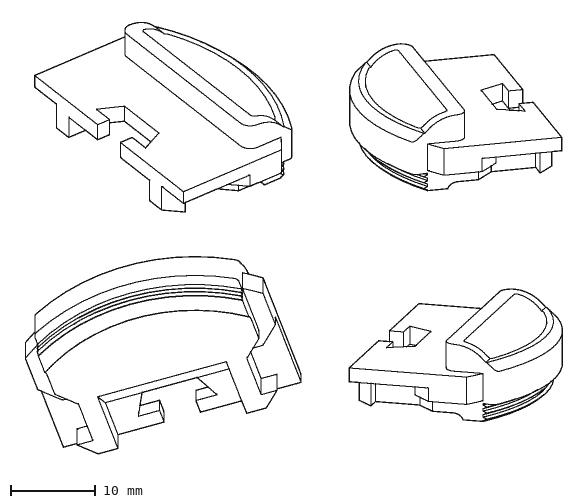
import cadquery as cq
import math

base_z = 0.76
rim_bottom_z = 2.17
wing_bottom_z = 2.55
front_pocket_z = 3.7
plate_underside_z = 4.2
plate_top_z = 5.9
rim_shoulder_z = 6.2
rim_top_z = 7.27
boss_top_z = 9.2
cavity_floor_z = 4.1

depth = 20.93
rim_radius = 25.75
axis_y = depth - rim_radius
plate_radius = 24.3
thread_height = 0.4
thread_half_width = 0.22
thread_pitch = 0.74
thread_first_z = 0.32
thread_count = 3
recess_radius = 22.25
recess_fillet = 1.0

plate_half_width = 14.8
body_half_width = 12.7
leg_half_width = 12.47
leg_inner_half_width = 8.0
leg_chamfer = 2.0
leg_back_y = 7.46
body_flare = 2.2

slot_mouth_half_width = 2.25
slot_lip = 1.75
slot_wide_half_width = 4.9
slot_narrow_half_width = 3.42
slot_back_y = 4.8
ramp_angle = 45.0

boss_front_y = 11.0
boss_corner_radius = 1.45
rim_corner_radius = 0.8
boss_flat_end_y = 12.28
boss_crown_radius = 4.9
boss_slope_angle = 45.0
cavity_half_width = 11.03
cavity_front_y = 12.94
cavity_radius = 23.88
cavity_floor_fillet = 1.0
cavity_front_corner_radius = 0.5
cavity_back_corner_radius = 1.05


def prism(points, bottom_z, top_z):
    """Vertical prism over a closed polygon."""
    plane = cq.Workplane("XY").workplane(offset=bottom_z)
    return plane.polyline(points).close().extrude(top_z - bottom_z)


def disc(radius, bottom_z, top_z):
    """Cylinder about the shared back-edge axis."""
    plane = cq.Workplane("XY").workplane(offset=bottom_z)
    return plane.center(0, axis_y).circle(radius).extrude(top_z - bottom_z)


def block(half_width, front_y, bottom_z, top_z):
    """Box centred on x = 0, reaching past the back of the part."""
    beyond_back_y = 2 * depth
    outline = [
        (-half_width, front_y),
        (half_width, front_y),
        (half_width, beyond_back_y),
        (-half_width, beyond_back_y),
    ]
    return prism(outline, bottom_z, top_z)


def round_backed(half_width, front_y, radius, bottom_z, top_z):
    """Block whose back edge is an arc about the shared axis."""
    return block(half_width, front_y, bottom_z, top_z).intersect(disc(radius, bottom_z, top_z))


def flared_layer(half_width, front_half_width, bottom_z, top_z):
    """Round-backed layer that widens at 45 degrees behind the legs."""
    flare_end_y = leg_back_y + half_width - front_half_width
    outline = [
        (-front_half_width, leg_back_y),
        (front_half_width, leg_back_y),
        (half_width, flare_end_y),
        (half_width, depth),
        (-half_width, depth),
        (-half_width, flare_end_y),
    ]
    return prism(outline, bottom_z, top_z).intersect(disc(plate_radius, bottom_z, top_z))


def plate():
    """Top plate with the thicker wings behind the legs."""
    top = round_backed(plate_half_width, 0, plate_radius, plate_underside_z, plate_top_z)
    wings = flared_layer(plate_half_width, leg_half_width, wing_bottom_z, plate_underside_z)
    return top.union(wings)


def legs():
    """Front block with hooked sides, which the front pocket splits into two legs."""
    leg_front_half_width = leg_half_width - leg_chamfer
    outline = [
        (-leg_front_half_width, 0),
        (leg_front_half_width, 0),
        (leg_half_width, leg_chamfer),
        (leg_front_half_width, leg_chamfer),
        (leg_front_half_width, leg_back_y),
        (-leg_front_half_width, leg_back_y),
        (-leg_front_half_width, leg_chamfer),
        (-leg_half_width, leg_chamfer),
    ]
    return prism(outline, base_z, plate_underside_z)


def thread_ridges():
    """Evenly spaced V-shaped ridges around the lower back edge."""
    thread_root_radius = plate_radius - thread_height
    ridges = cq.Workplane("XY")
    for index in range(thread_count):
        crest_z = thread_first_z + index * thread_pitch
        profile = [
            (thread_root_radius, crest_z - thread_half_width),
            (plate_radius, crest_z - thread_half_width),
            (plate_radius + thread_height, crest_z),
            (plate_radius, crest_z + thread_half_width),
            (thread_root_radius, crest_z + thread_half_width),
        ]
        ring = cq.Workplane("XZ").polyline(profile).close().revolve(360, (0, 0, 0), (0, 1, 0))
        ridges = ridges.add(ring.translate((0, axis_y, 0)))
    ridges = ridges.combine()
    return ridges.intersect(block(body_half_width, leg_back_y, 0, rim_bottom_z))


def lower_body():
    """Layer under the plate, ending in a hanging rim at the back."""
    front_half_width = body_half_width - body_flare
    body = flared_layer(body_half_width, front_half_width, 0, wing_bottom_z)
    recess = disc(recess_radius, base_z - 2 * recess_fillet, base_z)
    recess = recess.faces(">Z").edges().fillet(recess_fillet)
    return body.cut(recess).union(thread_ridges())


def boss():
    """Raised round-backed boss, with a crowned front wall and a low rim."""
    solid = round_backed(body_half_width, boss_front_y, rim_radius, rim_bottom_z, boss_top_z)
    solid = solid.faces("<Y").edges("|Z").fillet(boss_corner_radius)
    solid = solid.faces(">Y").edges("|Z").fillet(rim_corner_radius)
    return solid.intersect(boss_side_profile()).intersect(rim_envelope())


def boss_side_profile():
    """Crown arc falling into a straight slope down to the rim top."""
    slope = math.radians(boss_slope_angle)
    crown_center_z = boss_top_z - boss_crown_radius

    def crown_point(angle):
        """Point (y, z) on the crown at an angle from vertical."""
        y = boss_flat_end_y + boss_crown_radius * math.sin(angle)
        z = crown_center_z + boss_crown_radius * math.cos(angle)
        return (y, z)

    arc_mid = crown_point(slope / 2)
    arc_end = crown_point(slope)
    slope_end_y = arc_end[0] + (arc_end[1] - rim_top_z) / math.tan(slope)
    return (
        cq.Workplane("YZ")
        .moveTo(0, 0)
        .lineTo(0, boss_top_z)
        .lineTo(boss_flat_end_y, boss_top_z)
        .threePointArc(arc_mid, arc_end)
        .lineTo(slope_end_y, rim_top_z)
        .lineTo(2 * depth, rim_top_z)
        .lineTo(2 * depth, 0)
        .close()
        .extrude(plate_half_width, both=True)
    )


def rim_envelope():
    """Cone-topped cylinder that bevels the upper back edge."""
    cone_height = boss_top_z - rim_shoulder_z
    cone = (
        cq.Workplane("XY")
        .workplane(offset=rim_shoulder_z)
        .center(0, axis_y)
        .circle(rim_radius)
        .workplane(offset=cone_height)
        .circle(rim_radius - cone_height)
        .loft()
    )
    return disc(rim_radius, 0, rim_shoulder_z).union(cone)


def cavity():
    """Round-backed pocket sunk into the boss, with a filleted floor."""
    pocket = round_backed(cavity_half_width, cavity_front_y, cavity_radius, cavity_floor_z, boss_top_z)
    pocket = pocket.faces("<Y").edges("|Z").fillet(cavity_front_corner_radius)
    pocket = pocket.faces(">Y").edges("|Z").fillet(cavity_back_corner_radius)
    return pocket.faces("<Z").edges().fillet(cavity_floor_fillet)


def front_pocket():
    """Space between the legs, closed by a ramp at the back."""
    ramp_run = (front_pocket_z - base_z) / math.tan(math.radians(ramp_angle))
    ramp_end_y = slot_back_y + ramp_run
    profile = [
        (0, base_z),
        (0, front_pocket_z),
        (slot_back_y, front_pocket_z),
        (ramp_end_y, base_z),
    ]
    return cq.Workplane("YZ").polyline(profile).close().extrude(leg_inner_half_width, both=True)


def slot():
    """Dovetail slot opening through the front edge."""
    right = [
        (slot_mouth_half_width, 0),
        (slot_mouth_half_width, slot_lip),
        (slot_wide_half_width, slot_lip),
        (slot_narrow_half_width, slot_back_y),
    ]
    left = [(-x, y) for x, y in reversed(right)]
    return prism(right + left, base_z, plate_top_z)


result = plate().union(legs()).union(lower_body()).union(boss())
result = result.cut(cavity()).cut(front_pocket()).cut(slot())